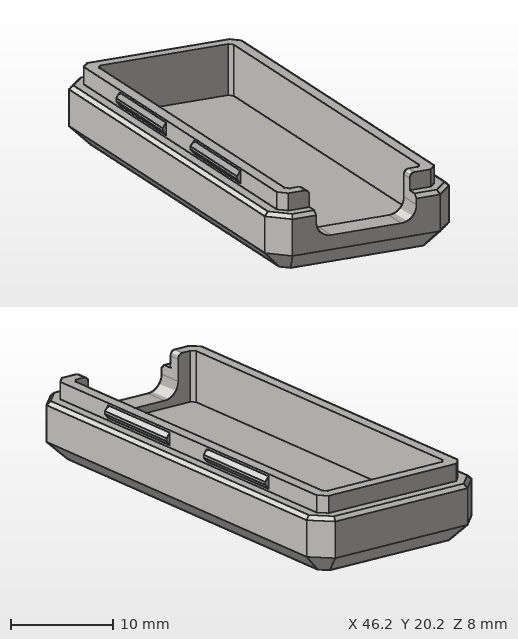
import cadquery as cq

LENGTH = 46.2
WIDTH = 20.2
HEIGHT = 8.0
CORNER_CHAMFER = 2.0
BOTTOM_CHAMFER = 2.0

LEDGE_Z = 6.2
LEDGE_CHAMFER = 0.4
LIP_INSET = 1.45
LIP_CORNER = 0.85

CAVITY_INSET = 2.7
CAVITY_CORNER = 0.4
CAVITY_FLOOR_Z = 2.7

NOTCH_WIDTH = 11.0
NOTCH_FLOOR_Z = 3.5
NOTCH_FLOOR_RADIUS = 1.65
NOTCH_RIM_RADIUS = 0.55

RIDGE_LENGTH = 10.0
RIDGE_PITCH = 16.0
RIDGE_HEIGHT = 1.3
RIDGE_TIP_HEIGHT = 0.3
RIDGE_DEPTH = 0.4
RIDGE_Z = 7.1


def chamfered_block(inset, corner, bottom_z, top_z):
    """Block inset from the tray outline, with its upright corners chamfered."""
    return (
        cq.Workplane("XY", origin=(0, 0, bottom_z))
        .rect(LENGTH - 2 * inset, WIDTH - 2 * inset)
        .extrude(top_z - bottom_z)
        .edges("|Z")
        .chamfer(corner)
    )


def make_shell():
    """Hollow tray: chamfered body, raised lip and cavity."""
    body = chamfered_block(0, CORNER_CHAMFER, 0, LEDGE_Z)
    body = body.faces("<Z").chamfer(BOTTOM_CHAMFER)
    body = body.faces(">Z").chamfer(LEDGE_CHAMFER)
    lip = chamfered_block(LIP_INSET, LIP_CORNER, CAVITY_FLOOR_Z, HEIGHT)
    cavity = chamfered_block(CAVITY_INSET, CAVITY_CORNER, CAVITY_FLOOR_Z, HEIGHT)
    return body.union(lip).cut(cavity)


def make_notch():
    """Cutter for the end opening: rounded floor corners and a flared, rounded rim."""
    half = NOTCH_WIDTH / 2
    floor_half = half - NOTCH_FLOOR_RADIUS
    rim_half = half + NOTCH_RIM_RADIUS
    floor_round_z = NOTCH_FLOOR_Z + NOTCH_FLOOR_RADIUS
    rim_z = HEIGHT - NOTCH_RIM_RADIUS
    start_x = LENGTH / 2 - CAVITY_INSET
    return (
        cq.Workplane("YZ", origin=(start_x, 0, 0))
        .moveTo(-floor_half, NOTCH_FLOOR_Z)
        .lineTo(floor_half, NOTCH_FLOOR_Z)
        .radiusArc((half, floor_round_z), -NOTCH_FLOOR_RADIUS)
        .lineTo(half, rim_z)
        .radiusArc((rim_half, HEIGHT), NOTCH_RIM_RADIUS)
        .lineTo(-rim_half, HEIGHT)
        .radiusArc((-half, rim_z), NOTCH_RIM_RADIUS)
        .lineTo(-half, floor_round_z)
        .radiusArc((-floor_half, NOTCH_FLOOR_Z), -NOTCH_FLOOR_RADIUS)
        .close()
        .extrude(CAVITY_INSET)
    )


def make_ridge(center_x, side):
    """Tapered snap ridge on the lip; side is +1 for the +Y wall, -1 for the -Y wall."""
    wall_y = side * (WIDTH / 2 - LIP_INSET)
    tip_y = wall_y + side * RIDGE_DEPTH
    profile = [
        (wall_y, RIDGE_Z - RIDGE_HEIGHT / 2),
        (tip_y, RIDGE_Z - RIDGE_TIP_HEIGHT / 2),
        (tip_y, RIDGE_Z + RIDGE_TIP_HEIGHT / 2),
        (wall_y, RIDGE_Z + RIDGE_HEIGHT / 2),
    ]
    return (
        cq.Workplane("YZ", origin=(center_x - RIDGE_LENGTH / 2, 0, 0))
        .polyline(profile)
        .close()
        .extrude(RIDGE_LENGTH)
    )


result = make_shell().cut(make_notch())
for ridge_side in (-1, 1):
    for ridge_x in (-RIDGE_PITCH / 2, RIDGE_PITCH / 2):
        result = result.union(make_ridge(ridge_x, ridge_side))